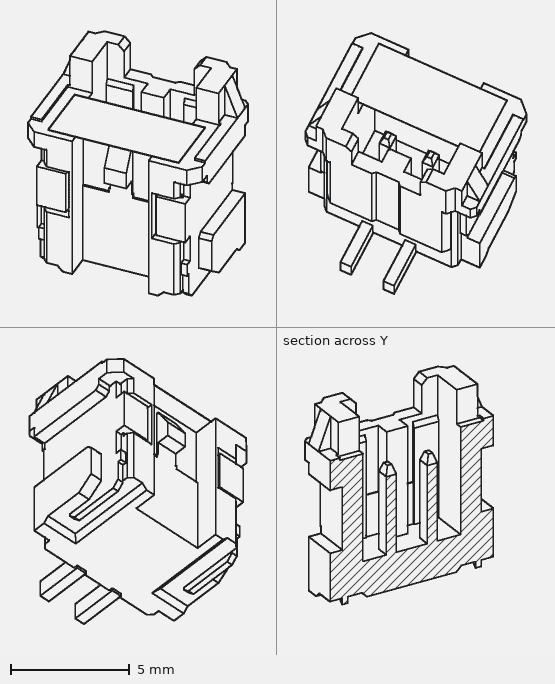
import cadquery as cq


rim_half_width = 4.0
column_half_width = 3.12
side_plate_thickness = 0.28
depth = 5.5
overall_height = 8.6
shell_bottom = 0.15
deck_height = 6.98
rim_height = 7.09
rim_block_bottom = 6.2

column_chamfer = 0.21
front_corner_chamfer = 0.5
rear_corner_chamfer = 0.2

side_plate_outer = column_half_width + side_plate_thickness

cavity_half_width = 2.38
cavity_front = 1.95
cavity_back = 5.125
cavity_floor = 1.89

recess_half_width = 1.755
recess_depth = 1.11
upper_recess_extra_depth = 0.09
recess_ledge_height = 3.99
latch_half_width = 0.5
latch_foot_half_width = 0.55
latch_foot_height = 0.19
latch_front = 0.525
latch_bottom = 4.85
latch_ramp_bottom = 5.63
latch_ramp_top = 6.62

rim_front = 1.0
rim_back = 5.005
rim_bottom = 5.67
rim_bottom_chamfer = 0.2
raised_strip_front = 0.81
raised_strip_inner = 3.51

rear_pad_thickness = 0.29
rear_pad_bottom = 1.995
rear_pad_half_width = 2.89
rear_pad_chamfer = 0.29
rear_notch_half_width = 0.52
rear_notch_depth = 0.15
post_front = 3.56
post_shift = 0.2
post_inner = 1.61
post_top_chamfer = 0.27
post_top_chamfer_height = 0.275
gusset_front = 4.2
gusset_back = rim_back

key_half_width = 0.52
key_front = 4.45
guide_pad_inner = 1.17
guide_pad_thickness = 0.1
guide_pad_top = 6.45
guide_pad_lead_in = 0.26
wall_foot_thickness = 0.04
wall_foot_top = 3.87

plate_front = 0.57
plate_top = 6.13
plate_back = rim_back
plate_hook_front = 0.275
plate_hook_bottom = 1.325
plate_hook_top = 1.92
plate_foot_front = 0.46
plate_foot_back = 3.46
plate_foot_chamfer = 0.3
flange_inner = 2.07
flange_front = 0.07
flange_bottom = 3.19
flange_top = 5.18
flange_clearance = 0.17
pocket_depth = 0.43
plate_tongue = 0.06

lug_front = 1.48
lug_top = 2.7
lug_top_chamfer = 0.2
lug_ramp_length = 0.765
lug_ramp_height = 0.57

relief_height = 0.25
relief_inner = 2.185
relief_back = 4.395
relief_slope = 0.25

terminal_pitch = 2.0
terminal_width = 0.5
terminal_blade_depth = 0.6
terminal_y = 3.55
terminal_tip_height = 6.02
terminal_tip_bevel = 0.15
terminal_tip_length = 0.43
tail_height = 0.86
tail_start = 5.31
overall_depth = 7.6

film_half_width = 2.99
film_front = 0.31
film_back = 3.105
film_thickness = 0.03
film_gap = 0.03


def box(x0, x1, y0, y1, z0, z1):
    return cq.Workplane("XY").box(x1 - x0, y1 - y0, z1 - z0, centered=False).translate((x0, y0, z0))


def centred_box(half_width, y0, y1, z0, z1):
    return box(-half_width, half_width, y0, y1, z0, z1)


def plan_prism(points, z0, z1):
    """Extrude an (X, Y) outline from z0 up to z1."""
    return cq.Workplane("XY").workplane(offset=z0).polyline(points).close().extrude(z1 - z0)


def profile_prism(points, x0, x1):
    """Extrude a (Y, Z) outline from x0 to x1."""
    return cq.Workplane("YZ").workplane(offset=x0).polyline(points).close().extrude(x1 - x0)


def front_prism(points, y0, y1):
    """Extrude an (X, Z) outline from y0 back to y1."""
    return cq.Workplane("XZ").workplane(offset=-y0).polyline(points).close().extrude(y0 - y1)


def both_sides(solid):
    """Add the mirror image across the symmetry plane."""
    return solid.union(solid.mirror("YZ"))


def shell_block():
    """Main block with chamfered columns and the wider corners above them."""
    block = centred_box(column_half_width, 0, depth, shell_bottom, deck_height)
    block = block.edges("|Z").chamfer(column_chamfer)
    corners = centred_box(rim_half_width, 0, depth, rim_block_bottom, deck_height)
    corners = corners.edges("|Z and <Y").chamfer(front_corner_chamfer)
    corners = corners.edges("|Z and >Y").chamfer(rear_corner_chamfer)
    return block.union(corners)


def rim():
    """Low band along each side and the raised strip on top of it."""
    band = profile_prism(
        [
            (rim_front, rim_block_bottom),
            (rim_front, rim_bottom + rim_bottom_chamfer),
            (rim_front + rim_bottom_chamfer, rim_bottom),
            (rim_back, rim_bottom),
            (rim_back, rim_block_bottom),
        ],
        column_half_width,
        rim_half_width,
    )
    strip = plan_prism(
        [
            (raised_strip_inner, raised_strip_front),
            (rim_half_width, raised_strip_front),
            (rim_half_width, depth - rear_corner_chamfer),
            (rim_half_width - rear_corner_chamfer, depth),
            (side_plate_outer, depth),
            (side_plate_outer, post_front),
            (raised_strip_inner, post_front),
        ],
        deck_height,
        rim_height,
    )
    return both_sides(band.union(strip))


def rear_pad(outer, z0, z1):
    """Thickening on the back of the shell, on one side, with chamfered ends."""
    back = depth + rear_pad_thickness
    return plan_prism(
        [
            (rear_notch_half_width, cavity_back),
            (outer, cavity_back),
            (outer, depth),
            (outer - rear_pad_chamfer, back),
            (rear_notch_half_width + rear_notch_depth, back),
            (rear_notch_half_width, back - rear_notch_depth),
        ],
        z0,
        z1,
    )


def rear_wall():
    """Pads on the back, joined across the notch between them."""
    lower = rear_pad(rear_pad_half_width, rear_pad_bottom, rim_block_bottom)
    upper = rear_pad(rear_pad_half_width + post_shift, rim_block_bottom, deck_height)
    web_back = depth + rear_pad_thickness - rear_notch_depth
    web = centred_box(rear_notch_half_width, cavity_back, web_back, rear_pad_bottom, deck_height)
    return both_sides(lower.union(upper)).union(web)


def posts():
    """Two L-shaped posts above the deck, each with a gusset on its outer side."""
    back = depth + rear_pad_thickness
    pad_outer = rear_pad_half_width + post_shift
    post = plan_prism(
        [
            (cavity_half_width, post_front),
            (side_plate_outer, post_front),
            (side_plate_outer, depth),
            (pad_outer, depth),
            (pad_outer - rear_pad_chamfer, back),
            (post_inner, back),
            (post_inner, cavity_back),
            (cavity_half_width, cavity_back),
        ],
        deck_height,
        overall_height,
    )
    corner_cut = front_prism(
        [
            (post_inner, overall_height),
            (post_inner + post_top_chamfer, overall_height),
            (post_inner, overall_height - post_top_chamfer_height),
        ],
        cavity_back,
        back,
    )
    gusset = front_prism(
        [
            (side_plate_outer, rim_height),
            (rim_half_width, rim_height),
            (side_plate_outer, overall_height),
        ],
        gusset_front,
        gusset_back,
    )
    return both_sides(post.cut(corner_cut).union(gusset))


def cavity():
    return centred_box(cavity_half_width, cavity_front, cavity_back, cavity_floor, overall_height)


def cavity_keys():
    """Central key, low wall foot and two lead-in pads on the rear wall of the cavity."""
    key = centred_box(key_half_width, key_front, cavity_back, cavity_floor, deck_height)
    pad_front = cavity_back - guide_pad_thickness
    guide_pad = profile_prism(
        [
            (cavity_back, cavity_floor),
            (pad_front, cavity_floor),
            (pad_front, guide_pad_top),
            (cavity_back, guide_pad_top + guide_pad_lead_in),
        ],
        guide_pad_inner,
        cavity_half_width,
    )
    foot_front = cavity_back - wall_foot_thickness
    foot = centred_box(guide_pad_inner, foot_front, cavity_back, cavity_floor, wall_foot_top)
    return key.union(foot).union(both_sides(guide_pad))


def front_recess():
    """Full-height recess, slightly deeper above the ledge."""
    lower = centred_box(recess_half_width, 0, recess_depth, 0, deck_height)
    upper_depth = recess_depth + upper_recess_extra_depth
    return lower.union(centred_box(recess_half_width, 0, upper_depth, recess_ledge_height, deck_height))


def latch():
    """Ramped latch on a shallow rib that stands on the recess ledge."""
    back = recess_depth + upper_recess_extra_depth
    ramp = profile_prism(
        [
            (back, recess_ledge_height),
            (recess_depth, recess_ledge_height),
            (recess_depth, latch_bottom),
            (latch_front, latch_bottom),
            (latch_front, latch_ramp_bottom),
            (recess_depth, latch_ramp_top),
            (back, latch_ramp_top),
        ],
        -latch_half_width,
        latch_half_width,
    )
    foot_top = recess_ledge_height + latch_foot_height
    foot = centred_box(latch_foot_half_width, recess_depth, back, recess_ledge_height, foot_top)
    return ramp.union(foot)


def flange_pockets():
    """Pockets in the front columns around the side plate flanges."""
    return both_sides(
        box(
            flange_inner - flange_clearance,
            column_half_width,
            0,
            pocket_depth,
            flange_bottom - flange_clearance,
            flange_top + flange_clearance,
        )
    )


def bottom_relief():
    """Raised area under each side of the shell, with sloping walls inside and behind."""
    top = shell_bottom + relief_height
    outer = rim_half_width
    across = front_prism(
        [
            (relief_inner, shell_bottom),
            (outer, shell_bottom),
            (outer, top),
            (relief_inner + relief_slope, top),
        ],
        0,
        relief_back,
    )
    along = profile_prism(
        [
            (0, shell_bottom),
            (relief_back, shell_bottom),
            (relief_back - relief_slope, top),
            (0, top),
        ],
        relief_inner,
        outer,
    )
    return both_sides(across.intersect(along))


def side_lugs():
    lug = profile_prism(
        [
            (plate_back, shell_bottom),
            (plate_back, lug_top),
            (lug_front + lug_top_chamfer, lug_top),
            (lug_front, lug_top - lug_top_chamfer),
            (lug_front, shell_bottom + relief_height + lug_ramp_height),
            (lug_front + lug_ramp_length, shell_bottom + relief_height),
            (lug_front + lug_ramp_length, shell_bottom),
        ],
        column_half_width,
        rim_half_width,
    )
    return both_sides(lug)


def side_plates():
    """Solder tabs on both sides, each with a flange folded over the front column."""
    plate = profile_prism(
        [
            (plate_front, plate_top),
            (plate_front, plate_hook_top),
            (plate_hook_front, plate_hook_top),
            (plate_hook_front, plate_hook_bottom),
            (plate_foot_front, plate_hook_bottom),
            (plate_foot_front, plate_foot_chamfer),
            (plate_foot_front + plate_foot_chamfer, 0),
            (plate_foot_back - plate_foot_chamfer, 0),
            (plate_foot_back, plate_foot_chamfer),
            (plate_foot_back, lug_top),
            (plate_back, lug_top),
            (plate_back, plate_top),
        ],
        column_half_width,
        side_plate_outer,
    )
    flange = box(flange_inner, side_plate_outer, flange_front, plate_front, flange_bottom, flange_top)
    tongue = box(
        column_half_width,
        side_plate_outer,
        plate_back,
        plate_back + plate_tongue,
        flange_bottom - flange_clearance,
        flange_top + flange_clearance,
    )
    return both_sides(plate.union(flange).union(tongue))


def terminal(x):
    """Contact blade with a tapered tip in the cavity, and the solder tail behind the shell."""
    half = terminal_width / 2
    blade_back = terminal_y + terminal_blade_depth / 2
    blade_front = terminal_y - terminal_blade_depth / 2
    tip_base = terminal_tip_height - terminal_tip_length
    blade = box(x - half, x + half, blade_front, blade_back, cavity_floor, tip_base)
    tip = (
        cq.Workplane("XY", origin=(x, terminal_y, tip_base))
        .rect(terminal_width, terminal_blade_depth)
        .workplane(offset=terminal_tip_length)
        .rect(terminal_width - 2 * terminal_tip_bevel, terminal_blade_depth - 2 * terminal_tip_bevel)
        .loft(combine=True)
    )
    tail = box(x - half, x + half, tail_start, overall_depth, 0, tail_height)
    return blade, tip, tail


def make_housing():
    body = shell_block().union(rim()).union(rear_wall())
    body = body.cut(cavity()).union(posts()).union(cavity_keys())
    body = body.cut(front_recess()).union(latch()).cut(flange_pockets())
    body = body.union(side_lugs()).cut(bottom_relief()).union(side_plates())
    for x in (-terminal_pitch / 2, terminal_pitch / 2):
        for piece in terminal(x):
            body = body.union(piece)
    return body


def make_film():
    """Thin film just above the deck, over the front of the cavity."""
    bottom = deck_height + film_gap
    return centred_box(film_half_width, film_front, film_back, bottom, bottom + film_thickness)


housing = make_housing()
film = make_film()

result = cq.Compound.makeCompound([housing.val(), film.val()])